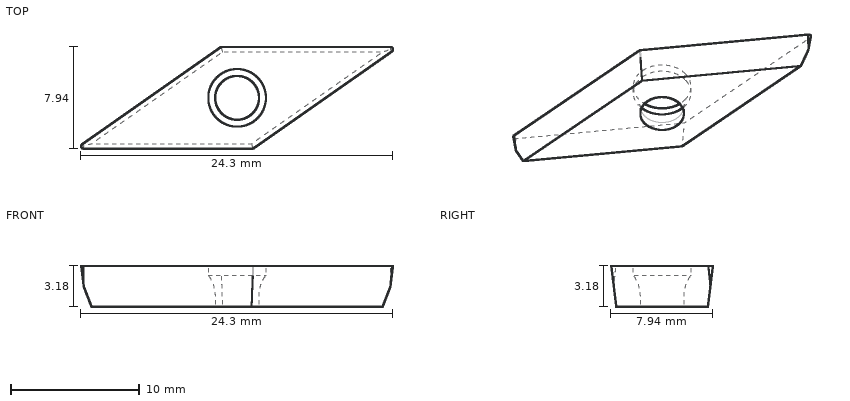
import cadquery as cq
import math

length = 24.3
thickness = 3.18
nose_angle = math.radians(35.0)
relief_angle = 7.0
corner_radius = 0.2

seat_diameter = 4.5
seat_depth = 0.73
bore_diameter = 3.4
throat_depth = 2.3

relief_slope = math.tan(math.radians(relief_angle))
apex_depth = corner_radius / relief_slope
core_inradius = (length / 2 - corner_radius) * math.tan(nose_angle / 2)
apex_z = thickness - apex_depth


def core_profile():
    """Sharp rhombus at the cone apex level, with two sides parallel to X."""
    acute_x = core_inradius / math.tan(nose_angle / 2)
    obtuse_x = core_inradius * math.tan(nose_angle / 2)
    corners = [
        (-acute_x, -core_inradius),
        (obtuse_x, -core_inradius),
        (acute_x, core_inradius),
        (-obtuse_x, core_inradius),
    ]
    return cq.Workplane("XY").workplane(offset=apex_z).polyline(corners).close()


def lower_body():
    """Sharp-cornered frustum narrowing from the apex level down to the base."""
    return core_profile().extrude(-apex_z, taper=relief_angle)


def upper_body():
    """Flared body whose corners are cones widening to the corner radius at the top."""
    return core_profile().extrude(apex_depth, taper=-relief_angle)


def screw_hole():
    """Round seat narrowing along a convex arc that runs tangent into the bore."""
    seat_radius = seat_diameter / 2
    bore_radius = bore_diameter / 2
    seat_z = thickness - seat_depth
    throat_z = thickness - throat_depth
    arc_height = seat_z - throat_z
    arc_width = seat_radius - bore_radius
    arc_radius = (arc_height**2 + arc_width**2) / (2 * arc_width)
    half_sweep = math.asin(arc_height / arc_radius) / 2
    arc_middle = (
        bore_radius + arc_radius * (1 - math.cos(half_sweep)),
        throat_z + arc_radius * math.sin(half_sweep),
    )
    return (
        cq.Workplane("XZ")
        .moveTo(0, 0)
        .lineTo(bore_radius, 0)
        .lineTo(bore_radius, throat_z)
        .threePointArc(arc_middle, (seat_radius, seat_z))
        .lineTo(seat_radius, thickness)
        .lineTo(0, thickness)
        .close()
        .revolve(360, (0, 0, 0), (0, 1, 0))
    )


result = lower_body().union(upper_body()).clean().cut(screw_hole())